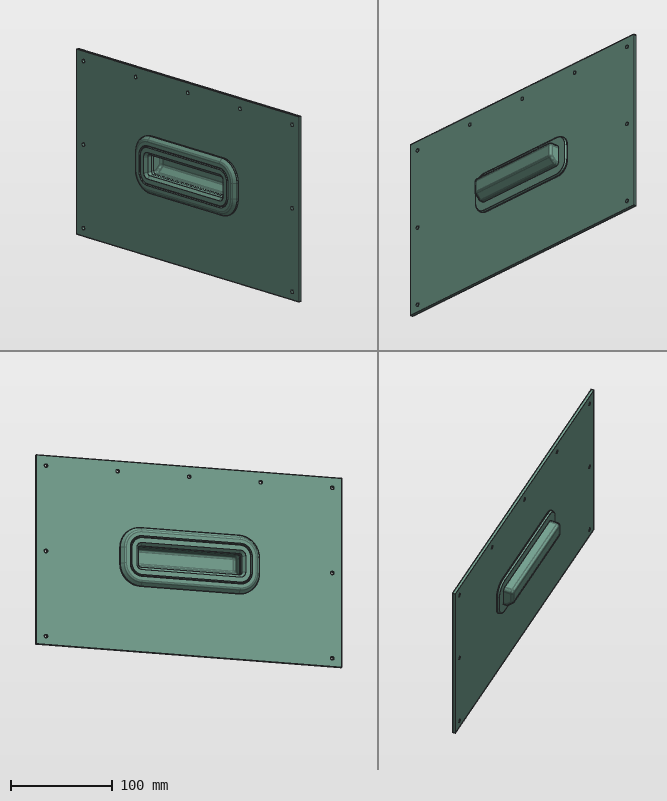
import cadquery as cq
import math


PANEL_LENGTH = 320.0
PANEL_HEIGHT = 190.0
PANEL_THICKNESS = 3.0
HOLE_DIAMETER = 3.5
HOLE_SIDE_INSET = 10.0
HOLE_TOP_INSET = 10.2
HOLE_ROW_SPACING = 85.8

CORNER_CENTRE_X = 51.5
CORNER_CENTRE_Z = 8.0

BEZEL_RADIUS = 21.5
OPENING_RADIUS = 11.5
RING_RADIUS = 13.5
CUP_OUTER_RADIUS = 3.5

BEZEL_LIP = 2.0
BEZEL_BEVEL = 4.0
BEZEL_EDGE_FILLET = 3.0
GROOVE_CHAMFER = 1.0

RING_THICKNESS = 3.0
RING_TAPER_DEPTH = 2.0
RING_TAPER_WIDTH = 1.0

CUP_WALL = 0.8
CUP_BEHIND_RING = 10.5
CUP_OUTER_FILLET = 3.0
CUP_SLOPE_LEG = 7.0
MOUTH_CHAMFER = 3.0

PANEL_FRONT = -PANEL_THICKNESS
FACE_FRONT = PANEL_FRONT - BEZEL_LIP - BEZEL_BEVEL
CUP_BACK = RING_THICKNESS + CUP_BEHIND_RING


def rounded_block(corner_radius, y_start, y_end):
    """Block with a rounded outline in XZ, running from y_start back to y_end."""
    return (
        cq.Workplane("XZ", origin=(0, y_end, 0))
        .rect(2 * (CORNER_CENTRE_X + corner_radius), 2 * (CORNER_CENTRE_Z + corner_radius))
        .extrude(y_end - y_start)
        .edges("|Y")
        .fillet(corner_radius)
    )


def cup_form(corner_radius, edge_fillet, slope_leg, y_start, y_end):
    """Rounded block with a 45 degree slope at its lower back and with rounded back and slope edges."""
    half_length = CORNER_CENTRE_X + corner_radius
    bottom = -CORNER_CENTRE_Z - corner_radius
    slope_cut = (
        cq.Workplane("YZ", origin=(-half_length, 0, 0))
        .moveTo(y_end, bottom)
        .lineTo(y_end, bottom + slope_leg)
        .lineTo(y_end - slope_leg, bottom)
        .close()
        .extrude(2 * half_length)
    )
    form = rounded_block(corner_radius, y_start, y_end).cut(slope_cut)
    back_face = form.faces(">Y")
    slope_face = form.faces(cq.selectors.DirectionMinMaxSelector(cq.Vector(0, 1, -1)))
    return back_face.add(slope_face).edges().fillet(edge_fillet)


def chamfer_front_opening(body, size):
    """Chamfer the rim of the opening in the front face of the body."""
    rim = body.faces("<Y").val().innerWires()[0]
    return body.newObject(rim.Edges()).chamfer(size)


def make_panel():
    panel = cq.Workplane("XZ").rect(PANEL_LENGTH, PANEL_HEIGHT).extrude(PANEL_THICKNESS)
    hole_x = PANEL_LENGTH / 2 - HOLE_SIDE_INSET
    top_z = PANEL_HEIGHT / 2 - HOLE_TOP_INSET
    top_row = [(step * hole_x / 2, top_z) for step in range(-2, 3)]
    side_holes = [(side * hole_x, top_z - row * HOLE_ROW_SPACING) for side in (-1, 1) for row in (1, 2)]
    holes = (
        cq.Workplane("XZ")
        .pushPoints(top_row + side_holes)
        .circle(HOLE_DIAMETER / 2)
        .extrude(PANEL_THICKNESS)
    )
    return panel.cut(holes).cut(rounded_block(OPENING_RADIUS, PANEL_FRONT, 0))


def make_bezel():
    bezel = (
        rounded_block(BEZEL_RADIUS, FACE_FRONT, PANEL_FRONT)
        .faces("<Y")
        .chamfer(BEZEL_BEVEL)
        .faces("<Y")
        .edges()
        .fillet(BEZEL_EDGE_FILLET)
    )
    bezel = bezel.cut(rounded_block(OPENING_RADIUS, FACE_FRONT, PANEL_FRONT))
    return chamfer_front_opening(bezel, GROOVE_CHAMFER)


def make_ring():
    ring = (
        rounded_block(RING_RADIUS, 0, RING_THICKNESS)
        .faces(">Y")
        .edges()
        .chamfer(RING_TAPER_DEPTH, RING_TAPER_WIDTH)
    )
    return ring.cut(rounded_block(CUP_OUTER_RADIUS, 0, RING_THICKNESS))


def make_cup():
    flange = (
        rounded_block(OPENING_RADIUS, FACE_FRONT, 0)
        .faces("<Y")
        .edges()
        .chamfer(GROOVE_CHAMFER)
    )
    shell = cup_form(CUP_OUTER_RADIUS, CUP_OUTER_FILLET, CUP_SLOPE_LEG, FACE_FRONT, CUP_BACK)
    inner_leg = CUP_SLOPE_LEG - CUP_WALL * (2 - math.sqrt(2))
    pocket = cup_form(
        CUP_OUTER_RADIUS - CUP_WALL,
        CUP_OUTER_FILLET - CUP_WALL,
        inner_leg,
        FACE_FRONT,
        CUP_BACK - CUP_WALL,
    )
    cup = flange.union(shell).cut(pocket)
    return chamfer_front_opening(cup, MOUTH_CHAMFER)


panel = make_panel()
bezel = make_bezel()
ring = make_ring()
cup = make_cup()

result = cq.Compound.makeCompound([panel.val(), bezel.val(), ring.val(), cup.val()])